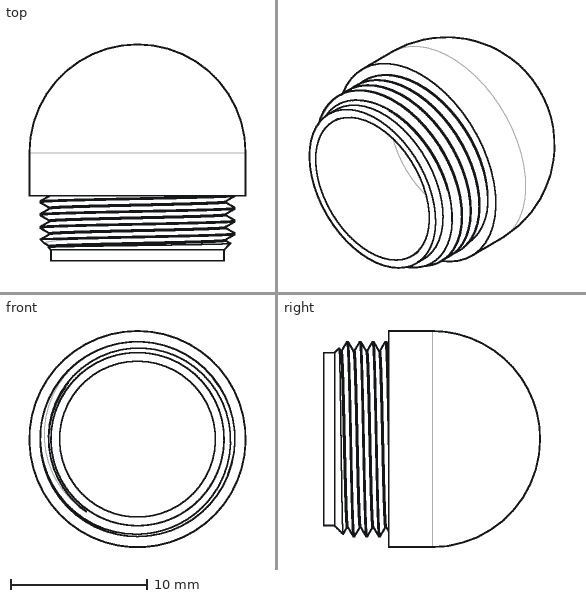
import cadquery as cq
import math

dome_radius = 7.94
bore_radius = 5.72
skirt_length = 3.18
thread_length = 3.97
neck_length = 0.8
neck_radius = 6.35

thread_radius = 7.15
thread_root_radius = 6.51
thread_pitch = 0.94
root_flat = 0.11
flank_angle = math.radians(30)
groove_reference_y = -4.55
turns_below_reference = 4
groove_turns = 7
cutter_overrun = 0.06

skirt_end = -skirt_length
thread_end = skirt_end - thread_length
open_end = thread_end - neck_length
thread_chamfer = thread_radius - neck_radius


def make_body():
    """Dome, skirt and neck as one revolved solid, still without its bore."""
    diagonal = dome_radius * math.sqrt(0.5)
    return (
        cq.Workplane("YZ")
        .moveTo(open_end, 0)
        .lineTo(open_end, neck_radius)
        .lineTo(skirt_end, neck_radius)
        .lineTo(skirt_end, dome_radius)
        .lineTo(0, dome_radius)
        .threePointArc((diagonal, diagonal), (dome_radius, 0))
        .close()
        .revolve(360, (0, 0), (1, 0))
    )


def make_thread_blank():
    """Sleeve for the thread, with a 45 degree lead-in at the open end."""
    return (
        cq.Workplane("YZ")
        .moveTo(thread_end, bore_radius)
        .lineTo(thread_end, neck_radius)
        .lineTo(thread_end + thread_chamfer, thread_radius)
        .lineTo(skirt_end, thread_radius)
        .lineTo(skirt_end, bore_radius)
        .close()
        .revolve(360, (0, 0), (1, 0))
        .rotate((0, 0, 0), (0, 1, 0), 180)
    )


def make_groove():
    """Helical groove cutter, built about Z from ruled faces and then turned onto the Y axis."""
    outer_radius = thread_radius + cutter_overrun
    root_half = root_flat / 2
    outer_half = root_half + (outer_radius - thread_root_radius) * math.tan(flank_angle)
    start = groove_reference_y - turns_below_reference * thread_pitch
    section = [
        (thread_root_radius, -root_half),
        (outer_radius, -outer_half),
        (outer_radius, outer_half),
        (thread_root_radius, root_half),
    ]

    helices = []
    for radius, offset in section:
        helix = cq.Wire.makeHelix(thread_pitch, groove_turns * thread_pitch, radius)
        helices.append(helix.translate(cq.Vector(0, 0, start + offset)))

    faces = []
    for index, helix in enumerate(helices):
        faces.append(cq.Face.makeRuledSurface(helices[index - 1], helix))
    for ends in (
        [helix.startPoint() for helix in helices],
        [helix.endPoint() for helix in helices],
    ):
        faces.append(cq.Face.makeFromWires(cq.Wire.makePolygon(ends, close=True)))

    groove = cq.Solid.makeSolid(cq.Shell.makeShell(faces)).fix()
    return cq.Workplane(obj=groove).rotate((0, 0, 0), (1, 0, 0), -90)


def make_cavity():
    """Straight bore ending in a hemisphere concentric with the dome."""
    diagonal = bore_radius * math.sqrt(0.5)
    return (
        cq.Workplane("YZ")
        .moveTo(open_end, 0)
        .lineTo(open_end, bore_radius)
        .lineTo(0, bore_radius)
        .threePointArc((diagonal, diagonal), (bore_radius, 0))
        .close()
        .revolve(360, (0, 0), (1, 0))
    )


thread = make_thread_blank().cut(make_groove())
result = make_body().union(thread).cut(make_cavity()).solids()